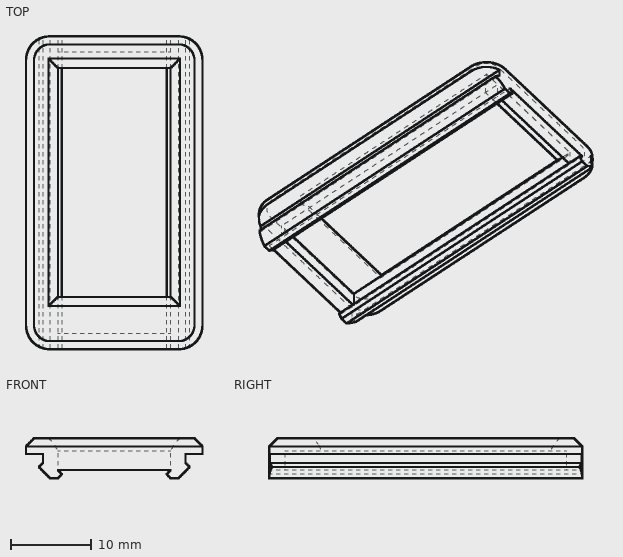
import cadquery as cq

width = 22.0
length = 39.0
height = 5.0
corner_radius = 3.0
edge_chamfer = 1.0
flange_thickness = 2.0

window_margin = 2.8
window_front_margin = 5.4
bevel_width = 0.7
bevel_depth = 0.7
taper_width = 0.45
rim_depth = 1.6

leg_inset = 2.1
hook_tip_inset = 1.6
hook_top_depth = 3.1
hook_tip_depth = 3.6
foot_outer_inset = 3.0
foot_inner_inset = window_margin + bevel_width + taper_width
foot_lip = 0.5
skirt_depth = height - 2 * foot_lip

end_wall = 2.0
side_wall = foot_inner_inset


def make_envelope():
    """Rounded rectangular block with a chamfered top edge."""
    block = cq.Workplane("XY").workplane(offset=-height).rect(width, length).extrude(height)
    return block.edges("|Z").fillet(corner_radius).faces(">Z").edges().chamfer(edge_chamfer)


def make_profile():
    """Full-length cross-section with flanges, outer hooks and inner foot lips."""
    half = width / 2
    right_side = [
        (half, 0),
        (half, -flange_thickness),
        (half - leg_inset, -flange_thickness),
        (half - leg_inset, -hook_top_depth),
        (half - hook_tip_inset, -hook_tip_depth),
        (half - foot_outer_inset, -height),
        (half - foot_inner_inset, -height),
        (half - foot_inner_inset - foot_lip, -height + foot_lip),
        (half - foot_inner_inset, -skirt_depth),
    ]
    left_side = [(-x, z) for x, z in reversed(right_side)]
    section = cq.Workplane("XZ").polyline(right_side + left_side).close()
    return section.extrude(length / 2, both=True)


def window_section(inset, depth):
    """Rectangular wire of the window, shrunk by inset at a depth below the top."""
    size_x = width - 2 * (window_margin + inset)
    size_y = length - window_margin - window_front_margin - 2 * inset
    center_y = (window_front_margin - window_margin) / 2
    plane = cq.Workplane("XY", origin=(0, center_y, -depth))
    return plane.rect(size_x, size_y).wires().val()


def make_window_step(inset_top, depth_top, inset_bottom, depth_bottom):
    """Tapered cutter joining two window sections."""
    top = window_section(inset_top, depth_top)
    bottom = window_section(inset_bottom, depth_bottom)
    return cq.Workplane(cq.Solid.makeLoft([top, bottom], True))


def make_recess():
    """Pocket between the legs and end walls, from the rim to the skirt bottom."""
    pocket = cq.Workplane("XY").workplane(offset=-skirt_depth)
    pocket = pocket.rect(width - 2 * side_wall, length - 2 * end_wall)
    return pocket.extrude(skirt_depth - rim_depth)


result = make_envelope().intersect(make_profile())
result = result.cut(make_window_step(0, 0, bevel_width, bevel_depth))
result = result.cut(make_window_step(bevel_width, bevel_depth, bevel_width + taper_width, rim_depth))
result = result.cut(make_recess())